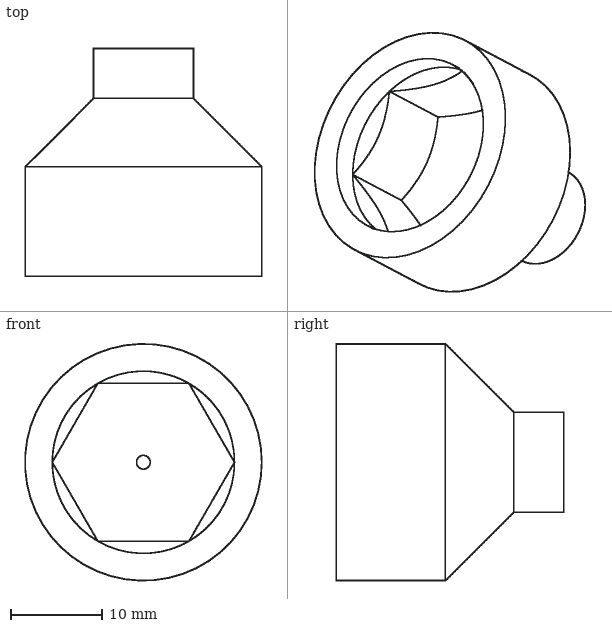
import cadquery as cq
import math

body_diameter = 26.0
neck_diameter = 11.0
total_length = 25.0
body_length = 12.0
shoulder_length = (body_diameter - neck_diameter) / 2

mouth_diameter = 20.0
mouth_depth = 3.0
lead_in_angle = 45.0
tip_diameter = 1.5
hex_end = body_length

mouth_radius = mouth_diameter / 2
hex_apothem = mouth_radius * math.cos(math.radians(30))


def revolve_profile(points):
    """Turn a closed (radius, y) outline about the Y axis."""
    return cq.Workplane("XY").polyline(points).close().revolve(360, (0, 0, 0), (0, 1, 0))


def outer_body():
    body_radius = body_diameter / 2
    neck_radius = neck_diameter / 2
    neck_start = body_length + shoulder_length
    return revolve_profile([
        (0, 0),
        (body_radius, 0),
        (body_radius, body_length),
        (neck_radius, neck_start),
        (neck_radius, total_length),
        (0, total_length),
    ])


def mouth_recess():
    """Round mouth whose conical floor leads in to the hexagon flats."""
    lead_in_depth = (mouth_radius - hex_apothem) / math.tan(math.radians(lead_in_angle))
    return revolve_profile([
        (0, 0),
        (mouth_radius, 0),
        (mouth_radius, mouth_depth),
        (hex_apothem, mouth_depth + lead_in_depth),
        (0, mouth_depth + lead_in_depth),
    ])


def hex_cavity():
    """Hexagonal prism trimmed by a 45 degree cone with a flat tip."""
    tip_radius = tip_diameter / 2
    cavity_end = hex_end + mouth_radius - tip_radius
    prism = (
        cq.Workplane("XZ")
        .polygon(6, mouth_diameter)
        .extrude(-cavity_end)
    )
    envelope = revolve_profile([
        (0, 0),
        (mouth_radius, 0),
        (mouth_radius, hex_end),
        (tip_radius, cavity_end),
        (0, cavity_end),
    ])
    return prism.intersect(envelope)


result = outer_body().cut(mouth_recess()).cut(hex_cavity())